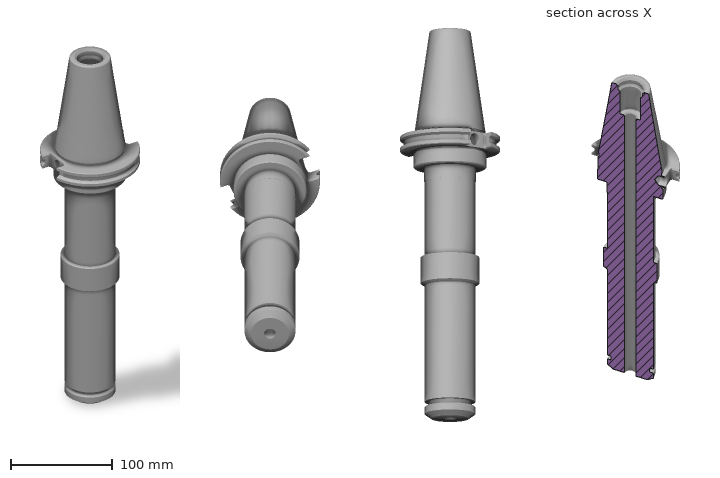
import cadquery as cq
import math

total_length = 386.0
taper_length = 101.5
gauge_height = total_length - taper_length
flange_top = 281.0
flange_bottom = 265.5
flange_center = (flange_top + flange_bottom) / 2
collar_top = 264.0
collar_bottom = 249.5
shoulder_height = 236.0
ring_top = 161.0
ring_bevel_top = 134.7
ring_bevel_bottom = 132.5
nose_groove_top = 16.5
nose_groove_bottom = 12.0
nose_bevel_height = 4.5

gauge_diameter = 70.0
taper_ratio = 7 / 24
taper_end_diameter = gauge_diameter - taper_length * taper_ratio
flange_neck_diameter = 67.5
flange_diameter = 98.0
collar_diameter = 71.5
neck_diameter = 50.5
body_diameter = 50.0
ring_diameter = 58.0
nose_groove_diameter = 42.0
nose_end_diameter = 37.0

taper_end_fillet = 2.0
flange_chamfer = 0.8
collar_chamfer = 1.0
ring_chamfer = 0.8
nose_chamfer = 1.0

groove_floor_diameter = 91.5
groove_floor_width = 4.2
groove_half_angle = 30.0

slot_width = 26.0
slot_chamfer = 1.0
slot_floor_fillet = 1.0
front_slot_floor = 38.0
rear_slot_floor = 35.0

slot_hole_diameter = 12.0
slot_hole_depth = 7.7
drill_tip_angle = 118.0

mouth_diameter = 30.5
counterbore_diameter = 26.2
counterbore_depth = 6.5
counterbore_seat_height = 2.5
thread_diameter = 22.0
thread_depth = 38.5
countersink_diameter = 14.5
through_diameter = 11.5


def make_body():
    """Revolve the outer outline, given as radius and height from the nose up."""
    body_radius = body_diameter / 2
    ring_radius = ring_diameter / 2
    collar_radius = collar_diameter / 2
    flange_radius = flange_diameter / 2
    outline = [
        (0, 0),
        (nose_end_diameter / 2, 0),
        (body_radius, nose_bevel_height),
        (body_radius, nose_groove_bottom - nose_chamfer),
        (body_radius - nose_chamfer, nose_groove_bottom),
        (nose_groove_diameter / 2, nose_groove_bottom),
        (nose_groove_diameter / 2, nose_groove_top),
        (body_radius, nose_groove_top),
        (body_radius, ring_bevel_bottom),
        (ring_radius, ring_bevel_top),
        (ring_radius, ring_top - ring_chamfer),
        (ring_radius - ring_chamfer, ring_top),
        (body_radius, ring_top),
        (body_radius, shoulder_height),
        (neck_diameter / 2, shoulder_height),
        (neck_diameter / 2, collar_bottom),
        (collar_radius - collar_chamfer, collar_bottom),
        (collar_radius, collar_bottom + collar_chamfer),
        (collar_radius, collar_top - collar_chamfer),
        (collar_radius - collar_chamfer, collar_top),
        (flange_neck_diameter / 2, collar_top),
        (flange_neck_diameter / 2, flange_bottom),
        (flange_radius - flange_chamfer, flange_bottom),
        (flange_radius, flange_bottom + flange_chamfer),
        (flange_radius, flange_top - flange_chamfer),
        (flange_radius - flange_chamfer, flange_top),
        (flange_neck_diameter / 2, flange_top),
        (flange_neck_diameter / 2, gauge_height),
        (gauge_diameter / 2, gauge_height),
        (taper_end_diameter / 2, total_length),
        (0, total_length),
    ]
    body = cq.Workplane("XZ").polyline(outline).close().revolve(360, (0, 0), (0, 1))
    return body.faces(">Z").edges().fillet(taper_end_fillet)


def make_flange_groove():
    """Ring-shaped cutter for the V-groove with a flat floor."""
    floor_radius = groove_floor_diameter / 2
    rim_radius = flange_diameter / 2
    floor_half = groove_floor_width / 2
    rim_half = floor_half + (rim_radius - floor_radius) * math.tan(math.radians(groove_half_angle))
    outline = [
        (floor_radius, flange_center - floor_half),
        (rim_radius, flange_center - rim_half),
        (rim_radius, flange_center + rim_half),
        (floor_radius, flange_center + floor_half),
    ]
    return cq.Workplane("XZ").polyline(outline).close().revolve(360, (0, 0), (0, 1))


def make_drive_slot(floor_distance, side):
    """Cutter through the flange with rounded floor corners; side is -1 for the front and 1 for the rear."""
    half_width = slot_width / 2
    wide_half = half_width + slot_chamfer
    depth = flange_diameter / 2 - floor_distance

    slot = cq.Workplane("XY").box(slot_width, depth, flange_top - flange_bottom)
    slot = slot.translate((0, floor_distance + depth / 2, flange_center))
    slot = slot.faces("<Y").edges("|Z").fillet(slot_floor_fillet)

    flare_outline = [
        (wide_half, flange_bottom),
        (half_width, flange_bottom + slot_chamfer),
        (half_width, flange_top - slot_chamfer),
        (wide_half, flange_top),
        (-wide_half, flange_top),
        (-half_width, flange_top - slot_chamfer),
        (-half_width, flange_bottom + slot_chamfer),
        (-wide_half, flange_bottom),
    ]
    flare_start = floor_distance + slot_floor_fillet
    flare = cq.Workplane("XZ", origin=(0, flare_start, 0)).polyline(flare_outline).close()
    flare = flare.extrude(slot_floor_fillet - depth)

    slot = slot.union(flare)
    return slot if side > 0 else slot.mirror("XZ")


def make_slot_hole():
    """Drill-shaped cutter entering the front slot floor along +Y."""
    radius = slot_hole_diameter / 2
    tip_length = radius / math.tan(math.radians(drill_tip_angle / 2))
    bottom = slot_hole_depth - front_slot_floor
    outline = [
        (0, -front_slot_floor),
        (radius, -front_slot_floor),
        (radius, bottom),
        (0, bottom + tip_length),
    ]
    drill = cq.Workplane("XY").polyline(outline).close().revolve(360, (0, 0), (0, 1))
    return drill.translate((0, 0, flange_center))


def make_bore():
    """Stepped cutter: bevelled mouth, conical-seat counterbore, thread bore and countersunk through hole."""
    mouth_chamfer = (mouth_diameter - counterbore_diameter) / 2
    countersink_depth = (countersink_diameter - through_diameter) / 2
    outline = [
        (0, 0),
        (through_diameter / 2, 0),
        (through_diameter / 2, total_length - thread_depth - countersink_depth),
        (countersink_diameter / 2, total_length - thread_depth),
        (thread_diameter / 2, total_length - thread_depth),
        (thread_diameter / 2, total_length - counterbore_depth - counterbore_seat_height),
        (counterbore_diameter / 2, total_length - counterbore_depth),
        (counterbore_diameter / 2, total_length - mouth_chamfer),
        (mouth_diameter / 2, total_length),
        (0, total_length),
    ]
    return cq.Workplane("XZ").polyline(outline).close().revolve(360, (0, 0), (0, 1))


result = (
    make_body()
    .cut(make_flange_groove())
    .cut(make_drive_slot(front_slot_floor, -1))
    .cut(make_drive_slot(rear_slot_floor, 1))
    .cut(make_slot_hole())
    .cut(make_bore())
)